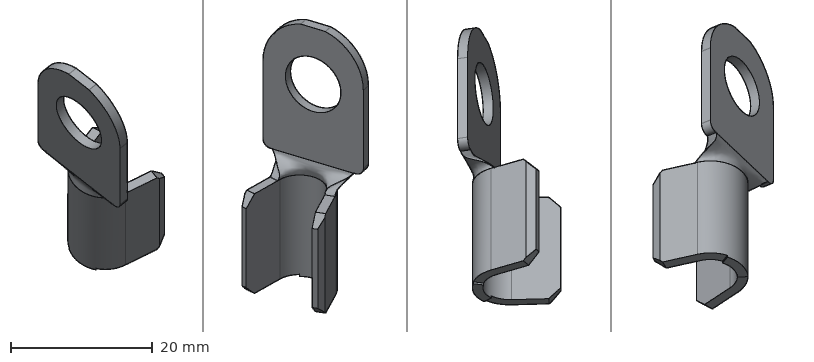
import cadquery as cq
import math


sheet = 1.5
total_height = 41.55
total_depth = 11.17

tongue_width = 16.3
tongue_bottom = 19.45
crown_centre_z = 33.65
corner_radius = 1.25
hole_diameter = 8.95
hole_z = 32.15

barrel_radius = 5.3
barrel_bottom = 0.31
barrel_top = 16.8
wing_tilt = 13.5
tab_half_angle = 30.0

taper_length = 1.3
corner_cut = 1.7
tip_thickness = 0.85

neck_stages = [
    (17.55, 5.27, 3.5, 0.15),
    (18.05, 5.55, 2.25, 0.25),
    (18.52, 5.9, 0.75, 0.25),
]
neck_top_half_width = 6.65
neck_overlap = 0.45

barrel_height = barrel_top - barrel_bottom
trough_inner_radius = barrel_radius - sheet
trough_half_angle = 90.0 - wing_tilt
tilt = math.radians(wing_tilt)
wing_x = math.sin(tilt)
wing_y = math.cos(tilt)


def trough_point(radius, degrees):
    """Point on a circle about the trough axis; 0 degrees is the front of the trough."""
    angle = math.radians(degrees)
    return (radius * math.sin(angle), barrel_radius - radius * math.cos(angle))


wing_root_outer = trough_point(barrel_radius, trough_half_angle)
wing_root_inner = trough_point(trough_inner_radius, trough_half_angle)
wing_length = (total_depth - wing_root_inner[1]) / wing_y


def wing_point(along, depth):
    """Point of the +X wing: distance from its root, and depth below its outer face."""
    return (
        wing_root_outer[0] + along * wing_x - depth * wing_y,
        wing_root_outer[1] + along * wing_y + depth * wing_x,
    )


def make_tongue():
    half_width = tongue_width / 2
    tongue = (
        cq.Workplane("XZ")
        .moveTo(-half_width, tongue_bottom)
        .lineTo(half_width, tongue_bottom)
        .lineTo(half_width, crown_centre_z)
        .threePointArc((0, crown_centre_z + half_width), (-half_width, crown_centre_z))
        .close()
        .extrude(-sheet)
    )
    tongue = tongue.edges("|Y").edges("<Z").fillet(corner_radius)

    flat_cut = cq.Workplane("XY", origin=(0, 0, total_height)).rect(tongue_width, 4 * sheet).extrude(sheet)
    hole = cq.Workplane("XZ").center(0, hole_z).circle(hole_diameter / 2).extrude(-sheet)
    return tongue.cut(flat_cut).cut(hole)


def arc_strip(z, outer_end, inner_end, setback):
    """Closed curved strip of sheet, symmetric about X = 0, given by its two end points at +X."""
    return (
        cq.Workplane("XY", origin=(0, 0, z))
        .moveTo(-outer_end[0], outer_end[1])
        .threePointArc((0, setback), outer_end)
        .lineTo(*inner_end)
        .threePointArc((0, setback + sheet), (-inner_end[0], inner_end[1]))
        .close()
    )


def make_trough():
    return arc_strip(barrel_bottom, wing_root_outer, wing_root_inner, 0).extrude(barrel_height)


def make_wing():
    taper_start = wing_length - taper_length
    corner_start = wing_length - corner_cut
    wing = (
        cq.Workplane("XY", origin=(0, 0, barrel_bottom))
        .polyline([
            wing_point(0, 0),
            wing_point(taper_start, 0),
            wing_point(wing_length, sheet - tip_thickness),
            wing_point(wing_length, sheet),
            wing_point(0, sheet),
        ])
        .close()
        .extrude(barrel_height)
    )
    outer_face = cq.Plane(
        origin=(*wing_root_outer, 0), xDir=(wing_x, wing_y, 0), normal=(wing_y, -wing_x, 0)
    )
    for corner_z, inward in ((barrel_bottom, 1), (barrel_top, -1)):
        corner = (
            cq.Workplane(outer_face)
            .polyline([
                (corner_start, corner_z),
                (wing_length, corner_z),
                (wing_length, corner_z + inward * corner_cut),
            ])
            .close()
            .extrude(sheet, both=True)
        )
        wing = wing.cut(corner)
    return wing


def make_bottom_tab():
    """Short tab below the trough, bounded by radial sides."""
    outer_end = trough_point(barrel_radius, tab_half_angle)
    inner_end = trough_point(trough_inner_radius, tab_half_angle)
    return arc_strip(0, outer_end, inner_end, 0).extrude(barrel_bottom)


def neck_section(z, half_width, sag, setback):
    """Arc-shaped strip of constant thickness, for one stage of the neck."""
    radius = (half_width**2 + sag**2) / (2 * sag)
    inner_ratio = (radius - sheet) / radius
    outer_end = (half_width, setback + sag)
    inner_end = (half_width * inner_ratio, setback + sheet + sag * inner_ratio)
    return arc_strip(z, outer_end, inner_end, setback).wires().val()


def make_neck():
    """The trough unrolls into the flat tongue."""
    foot_outer = wing_point(neck_overlap, 0)
    foot_inner = wing_point(neck_overlap, sheet)
    sections = [arc_strip(barrel_top, foot_outer, foot_inner, 0).wires().val()]
    sections += [neck_section(*stage) for stage in neck_stages]
    sections.append(
        cq.Workplane("XY", origin=(0, 0, tongue_bottom))
        .moveTo(-neck_top_half_width, 0)
        .lineTo(neck_top_half_width, 0)
        .lineTo(neck_top_half_width, sheet)
        .lineTo(-neck_top_half_width, sheet)
        .close()
        .wires()
        .val()
    )
    return cq.Workplane(cq.Solid.makeLoft(sections, False))


wing = make_wing()
result = (
    make_tongue()
    .union(make_neck())
    .union(make_trough())
    .union(wing)
    .union(wing.mirror("YZ"))
    .union(make_bottom_tab())
)